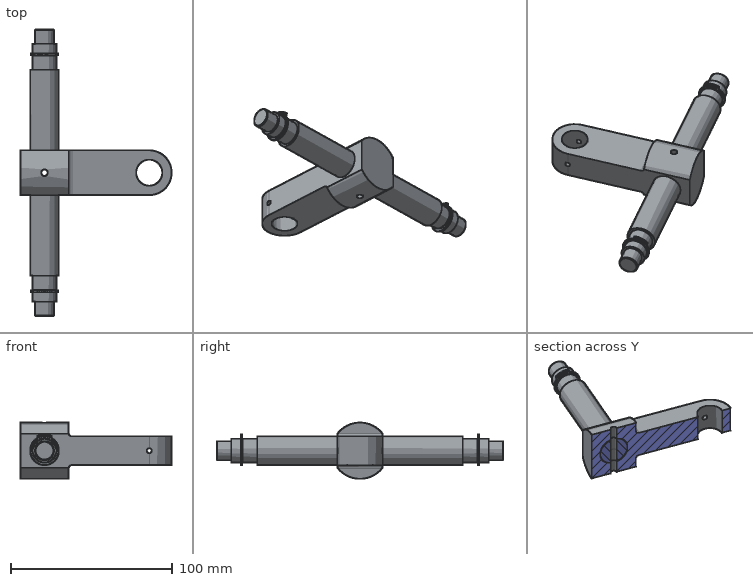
import cadquery as cq


head_length = 30.0
head_diameter = 35.0
body_width = 28.0
tongue_thickness = 18.0
root_fillet = 2.0
head_start = -head_length / 2
head_end = head_length / 2
eye_x = 65.0
eye_diameter = 16.0
eye_cross_hole_diameter = 3.0
tongue_tip = eye_x + body_width / 2

shaft_length = 178.0
shaft_diameter = 18.0
journal_diameter = 15.0
end_diameter = 12.0
shoulder_y = 63.9
step_y = 80.0
end_chamfer = 0.5
pin_hole_diameter = 4.0

groove_diameter = 14.2
groove_width = 1.5
groove_outer_y = 74.0
ring_thickness = 1.0
ring_outer_diameter = 17.0
ring_drop = 0.4
lug_top_radius = 10.1
lug_half_width = 4.6
lug_gap = 1.0
lug_hole_diameter = 1.8
lug_hole_x = 2.5
lug_hole_z = 8.2
ring_turns = {-1: 0.0, 1: 20.0}


def cylinder_y(diameter, y_start, y_end, z=0.0, x=0.0):
    """Cylinder along Y between two positions."""
    circle = cq.Workplane("XZ", origin=(0, y_start, 0)).center(x, z).circle(diameter / 2)
    return circle.extrude(y_start - y_end)


def cylinder_z(diameter, height, x=0.0):
    """Cylinder along Z, centred on the XY plane."""
    return cq.Workplane("XY").center(x, 0).circle(diameter / 2).extrude(height / 2, both=True)


def make_rod_end():
    """Head and tongue as one body: the overlap of side profile, plan outline and head cylinder."""
    half_head = head_diameter / 2
    half_tongue = tongue_thickness / 2
    half_width = body_width / 2
    fillet_end = head_end + root_fillet
    fillet_z = half_tongue + root_fillet

    side_profile = (
        cq.Workplane("XZ")
        .moveTo(head_start, -half_head)
        .lineTo(head_end, -half_head)
        .lineTo(head_end, -fillet_z)
        .radiusArc((fillet_end, -half_tongue), root_fillet)
        .lineTo(tongue_tip, -half_tongue)
        .lineTo(tongue_tip, half_tongue)
        .lineTo(fillet_end, half_tongue)
        .radiusArc((head_end, fillet_z), root_fillet)
        .lineTo(head_end, half_head)
        .lineTo(head_start, half_head)
        .close()
        .extrude(half_width, both=True)
    )
    plan_outline = (
        cq.Workplane("XY")
        .moveTo(head_start, -half_width)
        .lineTo(eye_x, -half_width)
        .threePointArc((tongue_tip, 0), (eye_x, half_width))
        .lineTo(head_start, half_width)
        .close()
        .extrude(half_head, both=True)
    )
    head_round = (
        cq.Workplane("YZ", origin=(head_start, 0, 0))
        .circle(half_head)
        .extrude(tongue_tip - head_start)
    )
    body = side_profile.intersect(plan_outline).intersect(head_round)

    shaft_bore = cylinder_y(shaft_diameter, -half_width, half_width)
    pin_hole = cylinder_z(pin_hole_diameter, head_diameter)
    eye = cylinder_z(eye_diameter, tongue_thickness, eye_x)
    eye_cross_hole = cylinder_y(eye_cross_hole_diameter, -half_width, half_width, x=eye_x)
    return body.cut(shaft_bore).cut(pin_hole).cut(eye).cut(eye_cross_hole)


def make_shaft():
    """Stepped shaft with chamfered ends, two ring grooves and the pin hole."""
    half_length = shaft_length / 2
    spigots = cylinder_y(end_diameter, -half_length, half_length)
    spigots = spigots.faces("<Y or >Y").chamfer(end_chamfer)
    journals = cylinder_y(journal_diameter, -step_y, step_y)
    middle = cylinder_y(shaft_diameter, -shoulder_y, shoulder_y)
    shaft = spigots.union(journals).union(middle)

    groove_inner_y = groove_outer_y - groove_width
    groove = cylinder_y(journal_diameter, groove_inner_y, groove_outer_y)
    groove = groove.cut(cylinder_y(groove_diameter, groove_inner_y, groove_outer_y))
    shaft = shaft.cut(groove).cut(groove.mirror("XZ"))
    return shaft.cut(cylinder_z(pin_hole_diameter, shaft_diameter))


def make_retaining_ring(side):
    """External retaining ring resting on the outer groove wall; side is +1 or -1 along Y."""
    outer_y = side * groove_outer_y
    inner_y = side * (groove_outer_y - ring_thickness)
    y_start = min(outer_y, inner_y)
    y_end = max(outer_y, inner_y)
    y_middle = (y_start + y_end) / 2

    def upright_block(width):
        """Block from the shaft axis up to the lug tops."""
        block = cq.Workplane("XY").box(width, ring_thickness, lug_top_radius, centered=(True, True, False))
        return block.translate((0, y_middle, 0))

    rim = cylinder_y(ring_outer_diameter, y_start, y_end, -ring_drop)
    lugs = cylinder_y(2 * lug_top_radius, y_start, y_end).intersect(upright_block(2 * lug_half_width))
    ring = rim.union(lugs)
    ring = ring.cut(cylinder_y(groove_diameter, y_start, y_end))
    ring = ring.cut(upright_block(lug_gap))
    for hole_x in (-lug_hole_x, lug_hole_x):
        ring = ring.cut(cylinder_y(lug_hole_diameter, y_start, y_end, lug_hole_z, hole_x))
    return ring.rotate((0, 0, 0), (0, 1, 0), -ring_turns[side])


rod_end = make_rod_end()
shaft = make_shaft()
retaining_rings = [make_retaining_ring(side) for side in (-1, 1)]

result = cq.Compound.makeCompound(
    [rod_end.val(), shaft.val(), *[ring.val() for ring in retaining_rings]]
)